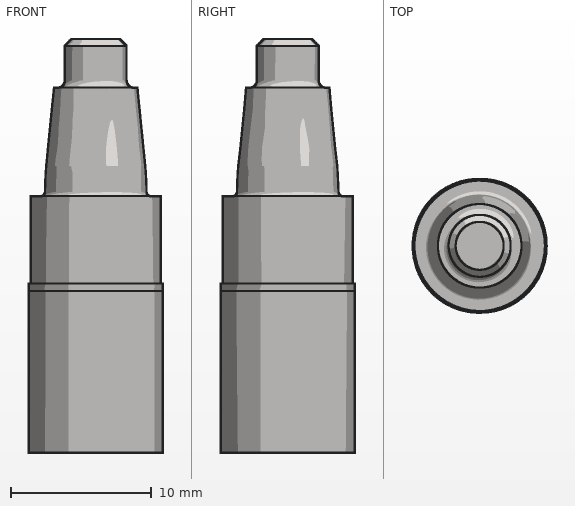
import cadquery as cq
import math

outer_radius = 9.53 / 2
base_height = 11.5
collar_top = 12.02

barrel_radius = 9.25 / 2
barrel_top = 18.23
neck_radius = 3.62
neck_fillet = 0.3
taper_bottom_radius = 3.53
taper_bottom = 20.35
taper_top_radius = 2.97
taper_top = 25.93
tip_radius = 4.4 / 2
tip_fillet = 0.5
tip_chamfer = 0.5
total_height = 29.4

QUARTER_ARC_OFFSET = 1 - math.sqrt(0.5)


def add_root_fillet(profile, shaft_radius, shoulder_height, fillet_radius):
    """Continue a profile along a flat shoulder and up a concave fillet onto a shaft."""
    offset = fillet_radius * QUARTER_ARC_OFFSET
    return (
        profile
        .lineTo(shaft_radius + fillet_radius, shoulder_height)
        .threePointArc(
            (shaft_radius + offset, shoulder_height + offset),
            (shaft_radius, shoulder_height + fillet_radius),
        )
    )


def make_base():
    """Plain cylinder that carries the plug."""
    return cq.Workplane("XY").circle(outer_radius).extrude(base_height)


def make_plug():
    """Collar, barrel, curved neck, taper and chamfered tip, revolved about Z."""
    profile = (
        cq.Workplane("XZ")
        .moveTo(0, base_height)
        .lineTo(outer_radius, base_height)
        .lineTo(outer_radius, collar_top)
        .lineTo(barrel_radius, collar_top)
        .lineTo(barrel_radius, barrel_top)
    )
    profile = add_root_fillet(profile, neck_radius, barrel_top, neck_fillet)
    profile = (
        profile
        .tangentArcPoint((taper_bottom_radius, taper_bottom), relative=False)
        .lineTo(taper_top_radius, taper_top)
    )
    profile = add_root_fillet(profile, tip_radius, taper_top, tip_fillet)
    profile = (
        profile
        .lineTo(tip_radius, total_height - tip_chamfer)
        .lineTo(tip_radius - tip_chamfer, total_height)
        .lineTo(0, total_height)
        .close()
    )
    return profile.revolve(360, (0, 0, 0), (0, 1, 0))


base = make_base()
plug = make_plug()

result = cq.Compound.makeCompound([base.val(), plug.val()])